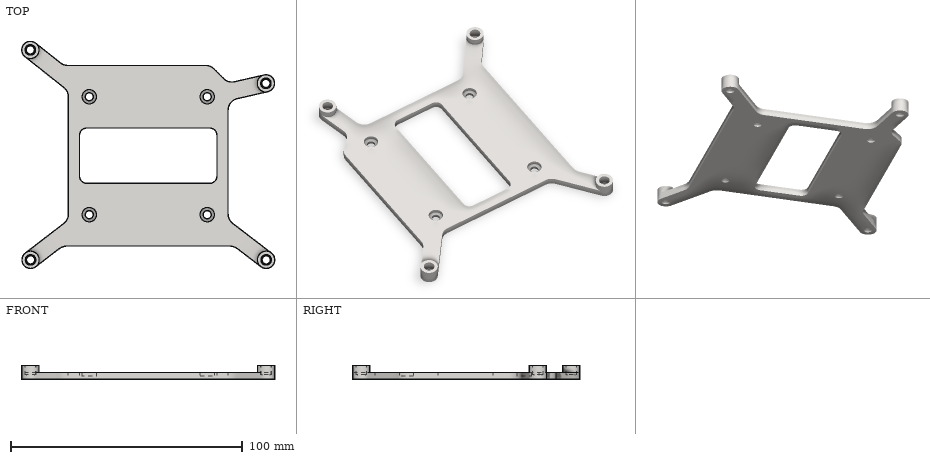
import cadquery as cq
import math

PLATE_THICKNESS = 3.0
PLATE_HALF_WIDTH = 34.6
PLATE_HALF_LENGTH = 39.1
OUTLINE_FILLET = 5.0
FRONT_FILLET = 6.5
TOLERANCE = 0.01

CORNER_CUT = 7.7

WINDOW_WIDTH = 59.3
WINDOW_LENGTH = 23.8
WINDOW_FILLET = 3.0

SCREW_PITCH = 51.0
SCREW_HOLE_DIAMETER = 3.4
COUNTERBORE_DIAMETER = 6.2
COUNTERBORE_DEPTH = 1.6

BOSS_DIAMETER = 7.5
BOSS_HEIGHT = 6.0
BOSS_HOLE_DIAMETER = 3.45
BOSS_POCKET_DIAMETER = 4.6
BOSS_POCKET_DEPTH = 4.0

ARM_WIDTH = BOSS_DIAMETER
SCREW_OFFSET = SCREW_PITCH / 2

BOSS_FRONT_LEFT = (-50.9, -45.05)
BOSS_FRONT_RIGHT = (51.0, -45.05)
BOSS_BACK_RIGHT = (50.9, 31.3)
BOSS_BACK_LEFT = (-51.0, 45.75)
BOSSES = [BOSS_FRONT_LEFT, BOSS_FRONT_RIGHT, BOSS_BACK_RIGHT, BOSS_BACK_LEFT]


def arm_edge(boss, side):
    """Start point and direction of one arm edge; the arm runs from its boss to the
    nearest screw hole. side is +1 for the edge left of that direction, -1 for the right."""
    screw_x = math.copysign(SCREW_OFFSET, boss[0])
    screw_y = math.copysign(SCREW_OFFSET, boss[1])
    length = math.hypot(screw_x - boss[0], screw_y - boss[1])
    dx = (screw_x - boss[0]) / length
    dy = (screw_y - boss[1]) / length
    offset = side * ARM_WIDTH / 2
    return (boss[0] - dy * offset, boss[1] + dx * offset), (dx, dy)


def crossing(line_a, line_b):
    """Point where two lines, each a point and a direction, cross."""
    (ax, ay), (adx, ady) = line_a
    (bx, by), (bdx, bdy) = line_b
    distance = ((bx - ax) * bdy - (by - ay) * bdx) / (adx * bdy - ady * bdx)
    return (ax + adx * distance, ay + ady * distance)


def arm_points(boss, side_before, side_after):
    """Outline points of one arm, counterclockwise, between the two plate sides it joins."""
    edge_in = arm_edge(boss, 1)
    edge_out = arm_edge(boss, -1)
    return [crossing(edge_in, side_before), edge_in[0], edge_out[0], crossing(edge_out, side_after)]


def is_corner(edge):
    """True for the vertical edges away from the bosses, at the corners of the plate outline."""
    center = edge.Center()
    return all(math.hypot(center.x - x, center.y - y) > BOSS_DIAMETER for x, y in BOSSES)


def is_front_corner(edge):
    """True for the corner edges that lie on the -Y side of the plate."""
    return is_corner(edge) and abs(edge.Center().y + PLATE_HALF_LENGTH) < TOLERANCE


def is_other_corner(edge):
    """True for the remaining corner edges."""
    return is_corner(edge) and not is_front_corner(edge)


def make_plate():
    front = ((0, -PLATE_HALF_LENGTH), (1, 0))
    right = ((PLATE_HALF_WIDTH, 0), (0, 1))
    back = ((0, PLATE_HALF_LENGTH), (1, 0))
    left = ((-PLATE_HALF_WIDTH, 0), (0, 1))
    cut_start = (PLATE_HALF_WIDTH - CORNER_CUT, PLATE_HALF_LENGTH)
    corner_cut = (cut_start, (1, -1))

    outline = (
        arm_points(BOSS_FRONT_LEFT, left, front)
        + arm_points(BOSS_FRONT_RIGHT, front, right)
        + arm_points(BOSS_BACK_RIGHT, right, corner_cut)
        + [cut_start]
        + arm_points(BOSS_BACK_LEFT, back, left)
    )
    plate = cq.Workplane("XY").polyline(outline).close().extrude(PLATE_THICKNESS)
    plate = plate.edges("|Z").filter(is_other_corner).fillet(OUTLINE_FILLET)
    return plate.edges("|Z").filter(is_front_corner).fillet(FRONT_FILLET)


def cut_window(body):
    window = (
        cq.Workplane("XY")
        .rect(WINDOW_WIDTH, WINDOW_LENGTH)
        .extrude(PLATE_THICKNESS)
        .edges("|Z")
        .fillet(WINDOW_FILLET)
    )
    return body.cut(window)


def cut_screw_holes(body):
    return (
        body.faces(">Z")
        .workplane(origin=(0, 0, PLATE_THICKNESS))
        .rect(SCREW_PITCH, SCREW_PITCH, forConstruction=True)
        .vertices()
        .cboreHole(SCREW_HOLE_DIAMETER, COUNTERBORE_DIAMETER, COUNTERBORE_DEPTH)
    )


def add_bosses(body):
    bosses = cq.Workplane("XY").pushPoints(BOSSES).circle(BOSS_DIAMETER / 2).extrude(BOSS_HEIGHT)
    return (
        body.union(bosses)
        .faces(">Z")
        .workplane(origin=(0, 0, BOSS_HEIGHT))
        .pushPoints(BOSSES)
        .cboreHole(BOSS_HOLE_DIAMETER, BOSS_POCKET_DIAMETER, BOSS_POCKET_DEPTH)
    )


result = add_bosses(cut_screw_holes(cut_window(make_plate())))